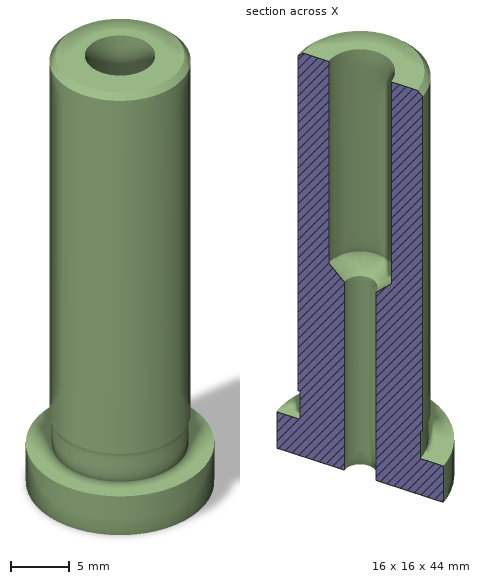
import cadquery as cq
import math

total_height = 44
head_diameter = 16.0
head_height = 4.0
body_diameter = 12.0
body_chamfer = 0.55

groove_diameter = 11.6
groove_height = 3.0

bore_diameter = 6.0
through_diameter = 3.0
bore_depth = 22
cone_angle = 90
cone_height = (bore_diameter - through_diameter) / 2 / math.tan(math.radians(cone_angle / 2))


def cylinder(diameter, bottom, height):
    return cq.Workplane("XY").workplane(offset=bottom).circle(diameter / 2).extrude(height)


def bore():
    cone_top = total_height - bore_depth
    cone_bottom = cone_top - cone_height
    return (
        cq.Workplane("XZ")
        .lineTo(through_diameter / 2, 0)
        .lineTo(through_diameter / 2, cone_bottom)
        .lineTo(bore_diameter / 2, cone_top)
        .lineTo(bore_diameter / 2, total_height)
        .lineTo(0, total_height)
        .close()
        .revolve(360, (0, 0), (0, 1))
    )


body_bottom = head_height + groove_height
head = cylinder(head_diameter, 0, head_height)
groove = cylinder(groove_diameter, head_height, groove_height)
body = cylinder(body_diameter, body_bottom, total_height - body_bottom)
body = body.faces(">Z").edges().chamfer(body_chamfer)

result = head.union(groove).union(body).cut(bore())